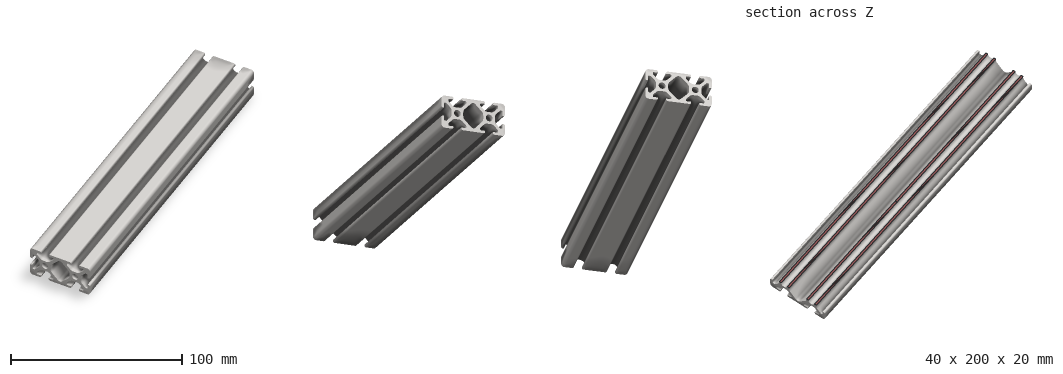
import cadquery as cq
import math

length = 200.0
cell = 20.0
width = 2 * cell
height = cell
corner_radius = 2.0
core_hole_diameter = 4.2

lip_thickness = 1.5
core_width = 7.5
arm_offset = 1.35
root_radius = 3.0
pocket_width = 11.2
pocket_corner_radius = 0.5
mouth_width = 5.0
mouth_radius = 0.9
crown_radius = 1.9

cell_centers = (-cell / 2, cell / 2)
face = cell / 2
core_half = core_width / 2
pocket_half = pocket_width / 2
mouth_half = mouth_width / 2
lip_underside = face - lip_thickness

turn_angle = math.radians(45)
root_flat_half = core_half - arm_offset - root_radius * math.tan(turn_angle / 2)
root_end_across = root_flat_half + root_radius * math.sin(turn_angle)
root_end_depth = root_end_across + arm_offset


def section():
    """Sketch plane at mid-length: local x is X and local y is Z."""
    return cq.Workplane("XZ")


def extrude_full(sketch):
    return sketch.extrude(length / 2, both=True)


def slot_cutter():
    """T-slot with a rounded mouth opening toward +Z, centred on a cell at the origin."""
    half = (
        section()
        .moveTo(0, core_half)
        .lineTo(root_flat_half, core_half)
        .tangentArcPoint((root_end_across, root_end_depth), relative=False)
        .lineTo(pocket_half, pocket_half + arm_offset)
        .lineTo(pocket_half, lip_underside - pocket_corner_radius)
        .tangentArcPoint((-pocket_corner_radius, pocket_corner_radius))
        .lineTo(mouth_half, lip_underside)
        .lineTo(mouth_half, face - mouth_radius)
        .tangentArcPoint((mouth_radius, mouth_radius))
        .lineTo(0, face)
    )
    return extrude_full(half.mirrorY())


def central_cavity():
    """Diamond cavity between the two cores, with rooted side walls and rounded ends."""
    apex = cell / 2 - arm_offset
    wall = cell / 2 - core_half
    root_end_x = cell / 2 - root_end_depth
    crown_end_x = crown_radius * math.sin(turn_angle)
    crown_end_z = apex - crown_end_x
    top_half = (
        section()
        .moveTo(wall, 0)
        .lineTo(wall, root_flat_half)
        .tangentArcPoint((root_end_x, root_end_across), relative=False)
        .lineTo(crown_end_x, crown_end_z)
        .tangentArcPoint((-crown_end_x, crown_end_z), relative=False)
        .lineTo(-root_end_x, root_end_across)
        .tangentArcPoint((-wall, root_flat_half), relative=False)
        .lineTo(-wall, 0)
    )
    return extrude_full(top_half.mirrorX())


result = cq.Workplane("XY").box(width, length, height).edges("|Y").fillet(corner_radius)

slot = slot_cutter()
for center in cell_centers:
    outward_turn = math.copysign(90, center)
    for turn in (0, 180, outward_turn):
        result = result.cut(slot.rotate((0, 0, 0), (0, 1, 0), turn).translate((center, 0, 0)))

result = result.cut(central_cavity())

core_points = [(center, 0) for center in cell_centers]
result = result.cut(extrude_full(section().pushPoints(core_points).circle(core_hole_diameter / 2)))